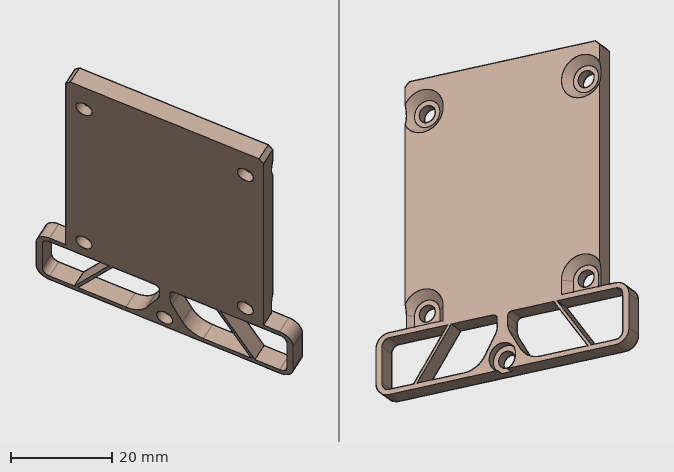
import cadquery as cq
import math

total_height = 66.5
thickness = 4.0
plate_width = 44.0
plate_chamfer = 1.0

handle_width = 57.2
handle_height = 13.35
handle_radius = 3.0
side_wall = 1.4
rail = 1.1
window_corner_radius = 1.6

web_half_width = 1.2
flare_start_z = 8.65
flare_angle = 30.0
web_top_radius = 1.0
flare_top_radius = 3.3
flare_foot_radius = 5.3

strut_top_x = 12.0
strut_bottom_x = 19.7
strut_thickness = 0.65

hole_diameter = 3.6
hole_x = 17.95
lower_hole_z = 16.5
hole_spacing_z = 43.0
handle_hole_z = 2.8
recess_depth = 1.7
recess_diameter = 9.2
handle_recess_diameter = 6.0


def slab(width, height):
    """Full-thickness block centred on X, standing on Z = 0."""
    return cq.Workplane("XY").box(width, thickness, height, centered=(True, False, False))


def prism(points):
    """Full-thickness prism from an XZ outline."""
    return cq.Workplane("XZ").polyline(points).close().extrude(-thickness)


def round_edge(body, x, z, radius):
    """Round the through-thickness edge nearest the given XZ position."""
    return body.edges("|Y").edges(cq.NearestToPointSelector((x, thickness / 2, z))).fillet(radius)


def right_window():
    """Window right of the web, split by the slanted strut."""
    outer_x = handle_width / 2 - side_wall
    top_z = handle_height - rail
    foot_x = web_half_width + (flare_start_z - rail) * math.tan(math.radians(flare_angle))
    corners = [
        (outer_x, rail, window_corner_radius),
        (outer_x, top_z, window_corner_radius),
        (web_half_width, top_z, web_top_radius),
        (web_half_width, flare_start_z, flare_top_radius),
        (foot_x, rail, flare_foot_radius),
    ]
    window = prism([(x, z) for x, z, _ in corners])
    for x, z, radius in corners:
        window = round_edge(window, x, z, radius)

    run = strut_bottom_x - strut_top_x
    rise = top_z - rail
    half_span = strut_thickness / 2 * math.hypot(run, rise) / rise
    strut = prism([
        (strut_top_x - half_span, top_z),
        (strut_top_x + half_span, top_z),
        (strut_bottom_x + half_span, rail),
        (strut_bottom_x - half_span, rail),
    ])
    return window.cut(strut)


def rear_discs(centres, diameter, depth):
    """Cylinders reaching from the rear face into the part."""
    rear = cq.Workplane("XZ", origin=(0, thickness, 0))
    return rear.pushPoints(centres).circle(diameter / 2).extrude(depth)


def corner_recess(x, z):
    """Flat-bottomed recess with a 45 degree wall in the rear face."""
    rim_radius = recess_diameter / 2
    floor_radius = rim_radius - recess_depth
    rim_centre = cq.Vector(x, thickness, z)
    return cq.Workplane(obj=cq.Solid.makeCone(
        rim_radius, floor_radius, recess_depth, rim_centre, cq.Vector(0, -1, 0)
    ))


def recess_channel(x):
    """Sloped-wall channel continuing a lower recess straight down to the handle."""
    rim_radius = recess_diameter / 2
    floor_radius = rim_radius - recess_depth
    floor_y = thickness - recess_depth
    section = cq.Workplane("XY", origin=(x, 0, handle_height)).polyline([
        (-rim_radius, thickness),
        (-floor_radius, floor_y),
        (floor_radius, floor_y),
        (rim_radius, thickness),
    ])
    return section.close().extrude(lower_hole_z - handle_height)


plate = slab(plate_width, total_height).edges("|Y and >Z").chamfer(plate_chamfer)

hole_sides = (-hole_x, hole_x)
hole_heights = (lower_hole_z, lower_hole_z + hole_spacing_z)
corner_holes = [(x, z) for x in hole_sides for z in hole_heights]
for x, z in corner_holes:
    plate = plate.cut(corner_recess(x, z))
for x in hole_sides:
    plate = plate.cut(recess_channel(x))

handle = slab(handle_width, handle_height).edges("|Y").fillet(handle_radius)
body = plate.union(handle)

window = right_window()
body = body.cut(window).cut(window.mirror("YZ"))

body = body.cut(rear_discs(corner_holes, hole_diameter, thickness))
handle_hole = [(0, handle_hole_z)]
body = body.cut(rear_discs(handle_hole, hole_diameter, thickness))

result = body.cut(rear_discs(handle_hole, handle_recess_diameter, recess_depth))